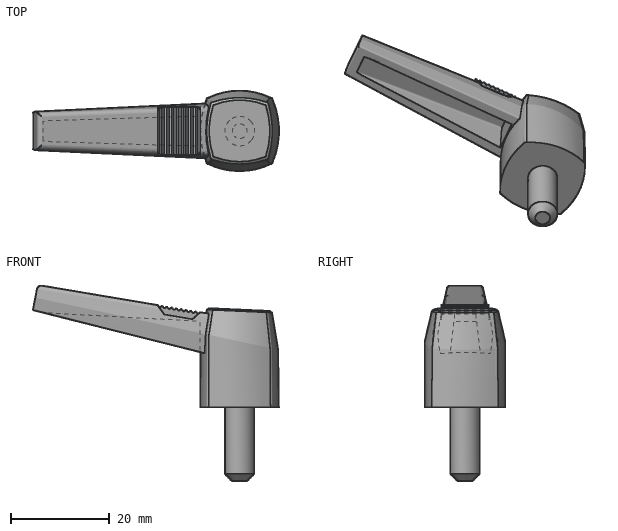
import cadquery as cq
import math

PIN_DIAMETER = 6.0
PIN_LENGTH = 15.0
PIN_CHAMFER = 1.5
PIN_OVERLAP = 2.5

HUB_HALF_Y = 8.2
HUB_HALF_X = 8.05
BASE_CORNER = 6.75
PARTING_CORNER = 6.65
PARTING_HALF_X = 7.9
PARTING_HALF_Y = 8.2
TOP_CORNER_X = 5.9
TOP_CORNER_Y = 5.85
TOP_HALF_X = 6.65
TOP_HALF_Y = 6.75
HUB_CORNER_SETBACK = 0.45
HUB_TOP_BEVEL = 0.35
HUB_TOP_INSET = 0.5

PARTING_HEIGHT = 13.4
PARTING_SLOPE = -0.2146
TOP_HEIGHT = 19.9
TOP_SLOPE = -0.045

TIP_X = -41.95
TIP_BOTTOM_Z = 19.75
TIP_TOP_Z = 24.9
TIP_HEIGHT = TIP_TOP_Z - TIP_BOTTOM_Z
TIP_LEAN = 1.0
ROOT_X = -5.75
LEVER_TOP_SLOPE = -0.168
LEVER_BOTTOM_SLOPE = -0.251
TIP_HALF_WIDTHS = (3.7, 3.95, 3.6)
ROOT_HALF_WIDTHS = (5.2, 5.65, 4.9)
LEVER_TOP_RADIUS = 0.95
LEVER_BOTTOM_RADIUS = 0.3

POCKET_START_X = -39.95
POCKET_END_X = -8.05
POCKET_START_Z = 19.3
POCKET_RIM_Z = 10.75
POCKET_CEILING_SLOPE = -0.055
POCKET_CEILING_HALF_WIDTH = 2.1
POCKET_RIM_HALF_WIDTH = 3.1
POCKET_CORNER_RADIUS = 0.4

GRIP_HALF_WIDTH = 4.8
GRIP_START_X = -16.65
GRIP_FLOOR_START_X = -15.3
GRIP_FLOOR_END_X = -9.55
GRIP_END_X = -8.0
GRIP_FLOOR_DEPTH = 1.7
TOOTH_COUNT = 8
TOOTH_PITCH = 0.975
TOOTH_DEPTH = 0.45
FIRST_PEAK_X = -15.75


def parting_z(x):
    return PARTING_HEIGHT + PARTING_SLOPE * x


def top_z(x):
    return TOP_HEIGHT + TOP_SLOPE * x


def lever_top_z(x):
    return TIP_TOP_Z + LEVER_TOP_SLOPE * (x - TIP_X - TIP_LEAN)


def lever_bottom_z(x):
    return TIP_BOTTOM_Z + LEVER_BOTTOM_SLOPE * (x - TIP_X)


def hub_outline(corner_x, corner_y, half_x, half_y, height_at):
    """Closed outline of four bulged sides and four small corner arcs on the plane z = height_at(x)."""
    side_x = corner_x - HUB_CORNER_SETBACK
    side_y = corner_y - HUB_CORNER_SETBACK
    crown = HUB_CORNER_SETBACK * math.sqrt(0.5)
    crown_x = side_x + crown
    crown_y = side_y + crown
    outline = [
        (side_x, corner_y), (0, half_y), (-side_x, corner_y), (-crown_x, crown_y),
        (-corner_x, side_y), (-half_x, 0), (-corner_x, -side_y), (-crown_x, -crown_y),
        (-side_x, -corner_y), (0, -half_y), (side_x, -corner_y), (crown_x, -crown_y),
        (corner_x, -side_y), (half_x, 0), (corner_x, side_y), (crown_x, crown_y),
        (side_x, corner_y),
    ]
    points = [cq.Vector(x, y, height_at(x)) for x, y in outline]
    edges = [cq.Edge.makeThreePointArc(*points[i:i + 3]) for i in range(0, len(points) - 1, 2)]
    return cq.Wire.assembleEdges(edges)


def make_hub():
    base = hub_outline(BASE_CORNER, BASE_CORNER, HUB_HALF_X, HUB_HALF_Y, lambda x: 0)
    parting = hub_outline(PARTING_CORNER, PARTING_CORNER, PARTING_HALF_X, PARTING_HALF_Y, parting_z)
    shoulder = hub_outline(
        TOP_CORNER_X, TOP_CORNER_Y, TOP_HALF_X, TOP_HALF_Y, lambda x: top_z(x) - HUB_TOP_BEVEL
    )
    top = hub_outline(
        TOP_CORNER_X - HUB_TOP_INSET,
        TOP_CORNER_Y - HUB_TOP_INSET,
        TOP_HALF_X - HUB_TOP_INSET,
        TOP_HALF_Y - HUB_TOP_INSET,
        top_z,
    )
    return cq.Workplane(cq.Solid.makeLoft([base, parting, shoulder, top], True))


def make_pin():
    pin = cq.Workplane("XY").workplane(offset=-PIN_LENGTH).circle(PIN_DIAMETER / 2)
    return pin.extrude(PIN_LENGTH + PIN_OVERLAP).faces("<Z").chamfer(PIN_CHAMFER)


def lever_section(spine, half_widths):
    """Six-sided section through three (x, z) spine points, listed bottom to top."""
    levels = list(zip(spine, half_widths))
    left = [cq.Vector(x, -half, z) for (x, z), half in levels]
    right = [cq.Vector(x, half, z) for (x, z), half in reversed(levels)]
    return cq.Wire.makePolygon(left + right, close=True)


def make_lever():
    rise_to_parting = (parting_z(TIP_X) - TIP_BOTTOM_Z) / (TIP_HEIGHT - PARTING_SLOPE * TIP_LEAN)
    parting_tip = (TIP_X + TIP_LEAN * rise_to_parting, TIP_BOTTOM_Z + TIP_HEIGHT * rise_to_parting)
    tip_spine = [(TIP_X, TIP_BOTTOM_Z), parting_tip, (TIP_X + TIP_LEAN, TIP_TOP_Z)]
    root_spine = [(ROOT_X, height_at(ROOT_X)) for height_at in (lever_bottom_z, parting_z, lever_top_z)]
    tip = lever_section(tip_spine, TIP_HALF_WIDTHS)
    root = lever_section(root_spine, ROOT_HALF_WIDTHS)
    lever = cq.Workplane(cq.Solid.makeLoft([tip, root], True))
    middle_x = (TIP_X + ROOT_X) / 2
    top_face = cq.NearestToPointSelector((middle_x, 0, lever_top_z(middle_x)))
    lever = lever.faces(top_face).edges("not >X").fillet(LEVER_TOP_RADIUS)
    bottom_face = cq.NearestToPointSelector((middle_x, 0, lever_bottom_z(middle_x)))
    return lever.faces(bottom_face).edges("not >X").fillet(LEVER_BOTTOM_RADIUS)


def make_pocket():
    """Channel with drafted side walls that deepens from the tip toward the hub."""
    length = POCKET_END_X - POCKET_START_X
    ceiling_end_z = POCKET_START_Z + POCKET_CEILING_SLOPE * length
    section = [
        (-POCKET_RIM_HALF_WIDTH, POCKET_RIM_Z),
        (POCKET_RIM_HALF_WIDTH, POCKET_RIM_Z),
        (POCKET_CEILING_HALF_WIDTH, POCKET_START_Z),
        (-POCKET_CEILING_HALF_WIDTH, POCKET_START_Z),
    ]
    channel = cq.Workplane("YZ").workplane(offset=POCKET_START_X).polyline(section).close().extrude(length)
    profile = [
        (POCKET_START_X, POCKET_START_Z),
        (POCKET_END_X, ceiling_end_z),
        (POCKET_END_X, POCKET_RIM_Z),
        (POCKET_START_X, POCKET_RIM_Z),
    ]
    wedge = cq.Workplane("XZ").polyline(profile).close().extrude(POCKET_RIM_HALF_WIDTH, both=True)
    pocket = channel.intersect(wedge)
    ceiling = cq.NearestToPointSelector(
        ((POCKET_START_X + POCKET_END_X) / 2, 0, (POCKET_START_Z + ceiling_end_z) / 2)
    )
    return pocket.faces(ceiling).edges("not (<X or >X)").fillet(POCKET_CORNER_RADIUS)


def grip_solid(upper_edge, half_width):
    """Extrude the grip profile below an upper edge listed from the tip side to the hub side."""
    floor = [(x, lever_top_z(x) - GRIP_FLOOR_DEPTH) for x in (GRIP_FLOOR_END_X, GRIP_FLOOR_START_X)]
    return cq.Workplane("XZ").polyline(upper_edge + floor).close().extrude(half_width, both=True)


def make_grip_recess():
    """Notch across the full lever width that the toothed block sits in."""
    ends = [(x, lever_top_z(x)) for x in (GRIP_START_X, GRIP_END_X)]
    return grip_solid(ends, max(ROOT_HALF_WIDTHS))


def make_grip():
    """Straight-sided block whose upper edge carries a row of teeth."""
    upper_edge = [(GRIP_START_X, lever_top_z(GRIP_START_X))]
    for i in range(TOOTH_COUNT):
        peak_x = FIRST_PEAK_X + i * TOOTH_PITCH
        valley_x = peak_x - TOOTH_PITCH / 2
        upper_edge.append((valley_x, lever_top_z(valley_x) - TOOTH_DEPTH))
        upper_edge.append((peak_x, lever_top_z(peak_x)))
    last_valley_x = peak_x + TOOTH_PITCH / 2
    upper_edge.append((last_valley_x, lever_top_z(last_valley_x) - TOOTH_DEPTH))
    upper_edge.append((GRIP_END_X, lever_top_z(GRIP_END_X)))
    return grip_solid(upper_edge, GRIP_HALF_WIDTH)


lever = make_lever().cut(make_grip_recess()).union(make_grip()).cut(make_pocket())
result = lever.union(make_hub()).union(make_pin())